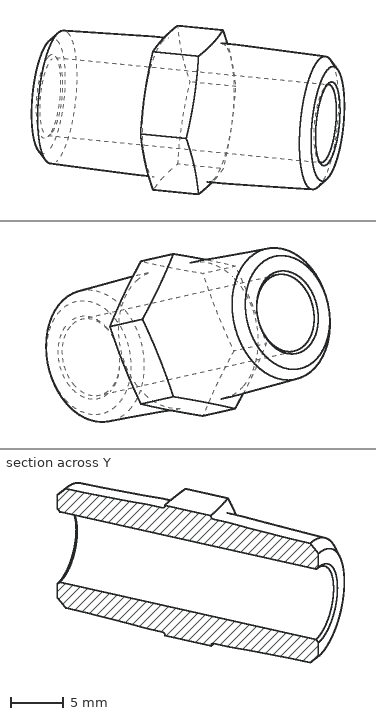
import cadquery as cq
import math

length = 28.0
end_x = length / 2

hex_across_flats = 14.0
hex_across_corners = hex_across_flats / math.cos(math.pi / 6)
hex_half_length = 2.5
hex_chamfer_angle = 10.0

neck_radius = 13.38 / 2
neck_fillet = 0.22
neck_end_x = 4.25

taper_ratio = 1 / 16
end_chamfer = 0.9
taper_end_x = end_x - end_chamfer
taper_end_radius = neck_radius - (taper_end_x - neck_end_x) * taper_ratio / 2
end_face_radius = taper_end_radius - end_chamfer

bore_radius = 7.5 / 2
bore_chamfer = 0.28


def make_hexagon():
    """Hexagon with two flats facing up and down and conical chamfers on its end faces."""
    prism = (
        cq.Workplane("YZ")
        .polygon(6, hex_across_corners)
        .extrude(hex_half_length, both=True)
    )
    face_radius = neck_radius + neck_fillet
    rim_radius = hex_across_corners
    chamfer_drop = (rim_radius - face_radius) * math.tan(math.radians(hex_chamfer_angle))
    rim_x = hex_half_length - chamfer_drop
    envelope = (
        cq.Workplane("XY")
        .moveTo(-hex_half_length, 0)
        .lineTo(-hex_half_length, face_radius)
        .lineTo(-rim_x, rim_radius)
        .lineTo(rim_x, rim_radius)
        .lineTo(hex_half_length, face_radius)
        .lineTo(hex_half_length, 0)
        .close()
        .revolve(360, (0, 0, 0), (1, 0, 0))
    )
    return prism.intersect(envelope)


def make_connection():
    """Turned connection on the +X side: fillet, neck, taper and end chamfer."""
    return (
        cq.Workplane("XY")
        .lineTo(0, neck_radius + neck_fillet)
        .lineTo(hex_half_length, neck_radius + neck_fillet)
        .radiusArc((hex_half_length + neck_fillet, neck_radius), -neck_fillet)
        .lineTo(neck_end_x, neck_radius)
        .lineTo(taper_end_x, taper_end_radius)
        .lineTo(end_x, end_face_radius)
        .lineTo(end_x, 0)
        .close()
        .revolve(360, (0, 0, 0), (1, 0, 0))
    )


def make_bore():
    """Bore through the whole part, widened by a chamfer at each mouth."""
    mouth_radius = bore_radius + bore_chamfer
    return (
        cq.Workplane("XY")
        .moveTo(-end_x, 0)
        .lineTo(-end_x, mouth_radius)
        .lineTo(-end_x + bore_chamfer, bore_radius)
        .lineTo(end_x - bore_chamfer, bore_radius)
        .lineTo(end_x, mouth_radius)
        .lineTo(end_x, 0)
        .close()
        .revolve(360, (0, 0, 0), (1, 0, 0))
    )


connection = make_connection()
result = (
    make_hexagon()
    .union(connection)
    .union(connection.mirror("YZ"))
    .cut(make_bore())
)